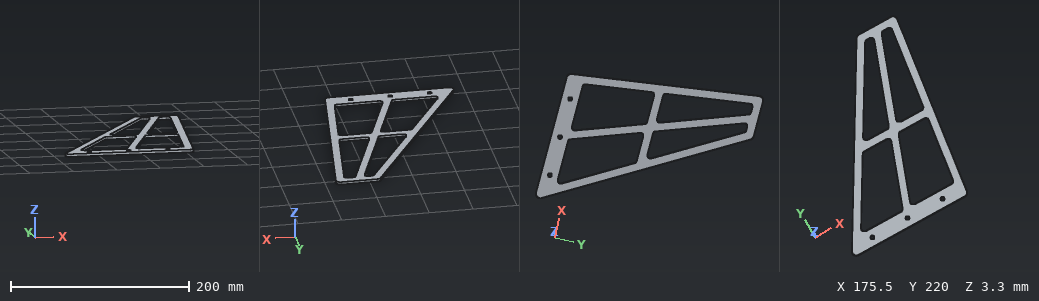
import cadquery as cq
import math

height = 220.0
thickness = 3.3
root_width = 150.0
tip_width = 50.0
leading_sweep = 130.0
corner_radius = 5.0

rail_width = 10.0
spar_width = 10.1
root_rail_width = 20.0
crossbar_top = 110.0
window_radius = 3.5

hole_diameter = 4.2
hole_spacing = 45.0
first_hole_x = 32.3
hole_y = root_rail_width / 2

leading_slope = leading_sweep / height
trailing_slope = (leading_sweep + tip_width - root_width) / height
spar_slope = (leading_sweep + tip_width / 2 - root_width / 2) / height


def sloped_rail_run(slope):
    """Horizontal width of a rail whose width square to its edge is rail_width."""
    return rail_width * math.hypot(1, slope)


leading_edge = (sloped_rail_run(leading_slope), leading_slope)
trailing_edge = (root_width - sloped_rail_run(trailing_slope), trailing_slope)
spar_front = ((root_width - spar_width) / 2, spar_slope)
spar_back = ((root_width + spar_width) / 2, spar_slope)


def x_on(edge, y):
    root_x, slope = edge
    return root_x + slope * y


def rounded_panel(left_edge, right_edge, bottom, top, radius):
    """Four-sided plate between two sloping edges, with rounded corners."""
    corners = [
        (x_on(left_edge, bottom), bottom),
        (x_on(right_edge, bottom), bottom),
        (x_on(right_edge, top), top),
        (x_on(left_edge, top), top),
    ]
    return cq.Workplane("XY").polyline(corners).close().extrude(thickness).edges("|Z").fillet(radius)


result = rounded_panel((0, leading_slope), (root_width, trailing_slope), 0, height, corner_radius)

bay_heights = [
    (root_rail_width, crossbar_top - rail_width),
    (crossbar_top, height - rail_width),
]
bay_sides = [(leading_edge, spar_front), (spar_back, trailing_edge)]
for bottom, top in bay_heights:
    for left_edge, right_edge in bay_sides:
        result = result.cut(rounded_panel(left_edge, right_edge, bottom, top, window_radius))

hole_centers = [(first_hole_x + i * hole_spacing, hole_y) for i in range(3)]
holes = cq.Workplane("XY").pushPoints(hole_centers).circle(hole_diameter / 2).extrude(thickness)
result = result.cut(holes)